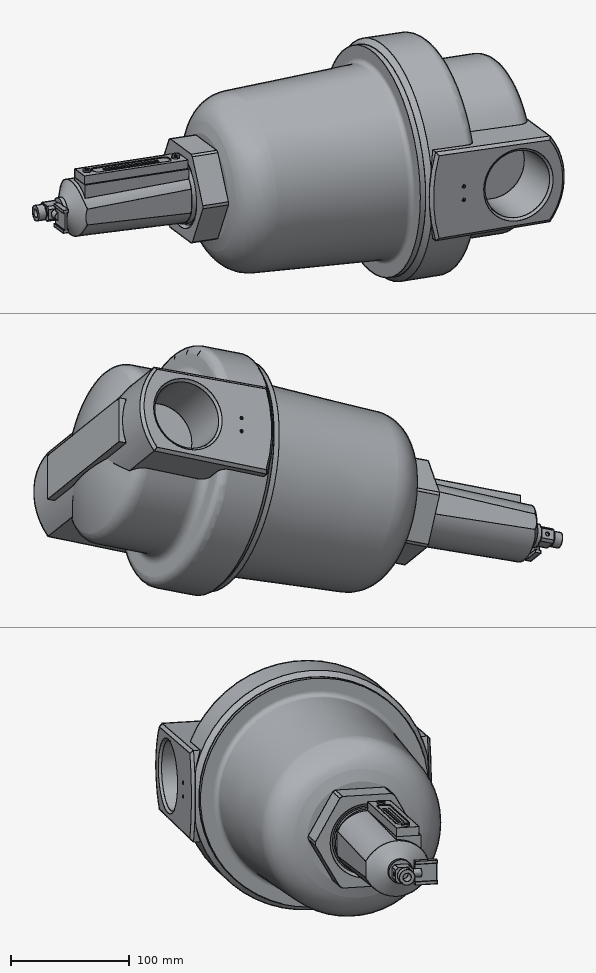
import cadquery as cq
import math


HEAD_FLANGE_D = 207.5
HEAD_FLANGE_R = HEAD_FLANGE_D / 2
FLANGE_BACK_Y = 47.5
FLANGE_ROUND = 8.0
FLANGE_CHAMFER = 4.5
HEAD_NECK_R = 76.5
HEAD_TOP_Y = 128.0
DOME_R = 163.0
DOME_EDGE_FILLET = 11.5

BLOCK_LENGTH = 208.7
BLOCK_BACK_Y = 127.0
BLOCK_BACK_CORNER_Y = 113.7
BLOCK_BACK_HALF_Z = 38.5
BLOCK_FRONT_Y = 2.2
BLOCK_FRONT_CORNER_Y = 8.0
BLOCK_FRONT_HALF_Z = 39.5
BLOCK_CHAMFER = 2.5
PORT_R = 30.0
PORT_Y = 83.5
PORT_DEPTH = 53.5
PORT_CHAMFER = 2.2
PINHOLE_R = 1.5
PINHOLE_Y = 33.0
PINHOLE_SPACING = 12.0
PINHOLE_DEPTH = 2.2

BADGE_LENGTH = 137.0
BADGE_WIDTH = 40.0
BADGE_BACK_Y = 130.2
BADGE_ROOT_Y = 111.5

BOWL_FLANGE_R = 99.0
BOWL_FLANGE_T = 5.0
BOWL_TOP_R = 83.5
BOWL_TOP_FILLET = 4.5
BOWL_LOW_R = 77.5
BOWL_LOW_Y = -127.0
BOWL_ROUND_END_R = 55.7
BOWL_ROUND_END_Y = -155.0
BOWL_END_R = 45.5
BOWL_END_Y = -158.0
HEX_FLATS = 79.5
HEX_CORNER_R = 45.0
HEX_END_Y = -181.5
RECESS_MOUTH_R = 32.0
RECESS_FLOOR_R = 29.5
RECESS_DEPTH = 2.5

DRAIN_COLLAR_R = 28.0
DRAIN_START_Y = -183.7
DRAIN_HALF_X = 26.8
DRAIN_START_HALF_Z = 26.8
DRAIN_START_FLAT = 10.5
DRAIN_END_HALF_Z = 24.0
DRAIN_END_FLAT = 7.0
DRAIN_SHOULDER_Y = -278.0
DRAIN_SHOULDER_R = 28.0
DRAIN_CONE_Y = -282.8
DRAIN_CONE_R = 25.0
DRAIN_TIP_Y = -291.0

PEDESTAL_WIDTH = 21.5
PEDESTAL_TOP_Z = 26.8
GAUGE_WIDTH = 19.5
GAUGE_TOP_Z = 34.5
GAUGE_END_Y = -279.5
GAUGE_CENTRE_X = GAUGE_WIDTH / 2
GAUGE_MID_Y = (DRAIN_START_Y + GAUGE_END_Y) / 2
WINDOW_WIDTH = 11.5
WINDOW_LENGTH = 71.5
WINDOW_CORNER_R = 4.0
WINDOW_DEPTH = 1.0
SLOT_LENGTH = 50.5
SLOT_WIDTH = 2.5
SLOT_X = 8.5
SLOT_DEPTH = 2.5
GROOVE_WIDTH = 0.5
GROOVE_X = 12.5
SCREW_SPACING = 82.0
SCREW_HEAD_R = 3.35
SCREW_HEAD_H = 1.5
SCREW_SHANK_R = 2.0
SCREW_SHANK_LENGTH = 5.5
SCREW_SOCKET_R = 1.1
SCREW_SOCKET_DEPTH = 1.0

VALVE_COLLAR_R = 10.3
VALVE_COLLAR_END_Y = -294.5
VALVE_NECK_R = 5.5
VALVE_BLOCK_Y = -295.5
VALVE_BLOCK_END_Y = -307.5
VALVE_BLOCK_WIDTH = 15.5
VALVE_BLOCK_HEIGHT = 13.5
VALVE_BLOCK_CHAMFER = 2.2
VALVE_OUTLET_Y = -308.5
VALVE_END_Y = -315.8
VALVE_OUTLET_R = 6.5
VALVE_BORE_R = 3.5
VALVE_BORE_DEPTH = 11.0
STEM_HOLE_R = 2.0
STEM_HOLE_DEPTH = 1.5

STEM_Y = -301.0
STEM_R = 3.8
STEM_START_X = 5.5
STEM_END_X = 15.5
LEVER_START_X = 10.3
LEVER_END_X = 29.5
LEVER_WIDTH = 20.5
LEVER_WEB_T = 2.2
LEVER_RIM_T = 5.0
LEVER_RIM_WIDTH = 2.5


def revolve_about_y(profile):
    """Turn a closed half profile, drawn as (radius, y), about the Y axis."""
    return profile.close().revolve(360, (0, 0, 0), (0, 1, 0))


def disc(radius, y_start, y_end):
    """Cylinder on the Y axis from y_start towards -Y."""
    return cq.Workplane("XZ", origin=(0, y_start, 0)).circle(radius).extrude(y_start - y_end)


def block(x_range, y_range, z_range):
    """Box given by its lower and upper limits along each axis."""
    lows, highs = zip(x_range, y_range, z_range)
    sizes = [high - low for low, high in zip(lows, highs)]
    return cq.Workplane("XY").box(*sizes, centered=False).translate(lows)


def round_point(centre, radius, degrees):
    """Point on a circle, at an angle from its first axis."""
    angle = math.radians(degrees)
    return (centre[0] + radius * math.cos(angle), centre[1] + radius * math.sin(angle))


def make_head():
    """Domed neck and flange turned about Y, joined to the port block."""
    dome_edge_y = HEAD_TOP_Y - DOME_R + math.sqrt(DOME_R**2 - HEAD_NECK_R**2)
    dome_mid_r = HEAD_NECK_R / 2
    dome_mid = (dome_mid_r, HEAD_TOP_Y - DOME_R + math.sqrt(DOME_R**2 - dome_mid_r**2))
    rim_centre = (HEAD_FLANGE_R - FLANGE_ROUND, FLANGE_BACK_Y - FLANGE_ROUND)
    neck_centre = (HEAD_NECK_R + FLANGE_ROUND, FLANGE_BACK_Y + FLANGE_ROUND)
    turned = revolve_about_y(
        cq.Workplane("XY")
        .moveTo(0, 0)
        .lineTo(HEAD_FLANGE_R - FLANGE_CHAMFER, 0)
        .lineTo(HEAD_FLANGE_R, FLANGE_CHAMFER)
        .lineTo(HEAD_FLANGE_R, rim_centre[1])
        .threePointArc(round_point(rim_centre, FLANGE_ROUND, 45), (rim_centre[0], FLANGE_BACK_Y))
        .lineTo(neck_centre[0], FLANGE_BACK_Y)
        .threePointArc(round_point(neck_centre, FLANGE_ROUND, 225), (HEAD_NECK_R, neck_centre[1]))
        .lineTo(HEAD_NECK_R, dome_edge_y)
        .threePointArc(dome_mid, (0, HEAD_TOP_Y))
    )
    neck_end_edge = cq.selectors.NearestToPointSelector((0, dome_edge_y, 0))
    turned = turned.edges(neck_end_edge).fillet(DOME_EDGE_FILLET)
    head = turned.union(make_port_block()).union(make_badge())
    return cut_ports(head)


def make_port_block():
    """Bar along X with bulging back and front and chamfered end faces."""
    return (
        cq.Workplane("YZ")
        .moveTo(BLOCK_FRONT_CORNER_Y, -BLOCK_FRONT_HALF_Z)
        .lineTo(BLOCK_BACK_CORNER_Y, -BLOCK_BACK_HALF_Z)
        .threePointArc((BLOCK_BACK_Y, 0), (BLOCK_BACK_CORNER_Y, BLOCK_BACK_HALF_Z))
        .lineTo(BLOCK_FRONT_CORNER_Y, BLOCK_FRONT_HALF_Z)
        .threePointArc((BLOCK_FRONT_Y, 0), (BLOCK_FRONT_CORNER_Y, -BLOCK_FRONT_HALF_Z))
        .close()
        .extrude(BLOCK_LENGTH / 2, both=True)
        .faces("<X or >X")
        .chamfer(BLOCK_CHAMFER)
    )


def make_badge():
    return block(
        (-BADGE_LENGTH / 2, BADGE_LENGTH / 2),
        (BADGE_ROOT_Y, BADGE_BACK_Y),
        (-BADGE_WIDTH / 2, BADGE_WIDTH / 2),
    )


def cut_ports(head):
    """A chamfered blind port and two pinholes in each end of the port block."""
    for side in (-1, 1):
        inward = cq.Vector(-side, 0, 0)
        end_x = side * BLOCK_LENGTH / 2
        mouth = cq.Vector(end_x, PORT_Y, 0)
        head = head.cut(cq.Solid.makeCylinder(PORT_R, PORT_DEPTH, mouth, inward))
        chamfer = cq.Solid.makeCone(PORT_R + PORT_CHAMFER, PORT_R, PORT_CHAMFER, mouth, inward)
        head = head.cut(chamfer)
        for z in (-PINHOLE_SPACING / 2, PINHOLE_SPACING / 2):
            start = cq.Vector(end_x, PINHOLE_Y, z)
            head = head.cut(cq.Solid.makeCylinder(PINHOLE_R, PINHOLE_DEPTH, start, inward))
    return head


def make_bowl():
    """Flanged tapered bowl whose lower end carries a hexagon with a conical recess."""
    fillet_end_y = -BOWL_FLANGE_T - BOWL_TOP_FILLET
    fillet_centre = (BOWL_TOP_R + BOWL_TOP_FILLET, fillet_end_y)
    shell = revolve_about_y(
        cq.Workplane("XY")
        .moveTo(0, 0)
        .lineTo(BOWL_FLANGE_R, 0)
        .lineTo(BOWL_FLANGE_R, -BOWL_FLANGE_T)
        .lineTo(fillet_centre[0], -BOWL_FLANGE_T)
        .threePointArc(round_point(fillet_centre, BOWL_TOP_FILLET, 135), (BOWL_TOP_R, fillet_end_y))
        .lineTo(BOWL_LOW_R, BOWL_LOW_Y)
        .tangentArcPoint((BOWL_ROUND_END_R, BOWL_ROUND_END_Y), relative=False)
        .lineTo(BOWL_END_R, BOWL_END_Y)
        .lineTo(0, BOWL_END_Y)
    )
    hexagon = (
        cq.Workplane("XZ", origin=(0, BOWL_END_Y, 0))
        .polygon(6, HEX_FLATS / math.cos(math.pi / 6))
        .extrude(BOWL_END_Y - HEX_END_Y)
        .intersect(disc(HEX_CORNER_R, BOWL_END_Y, HEX_END_Y))
    )
    recess = cq.Solid.makeCone(
        RECESS_MOUTH_R, RECESS_FLOOR_R, RECESS_DEPTH, cq.Vector(0, HEX_END_Y, 0), cq.Vector(0, 1, 0)
    )
    return shell.union(hexagon).cut(recess)


def drain_section(sketch, half_z, flat_half):
    """Closed outline with two flat sides joined by shallow arcs above and below."""
    return (
        sketch.moveTo(DRAIN_HALF_X, -flat_half)
        .lineTo(DRAIN_HALF_X, flat_half)
        .threePointArc((0, half_z), (-DRAIN_HALF_X, flat_half))
        .lineTo(-DRAIN_HALF_X, -flat_half)
        .threePointArc((0, -half_z), (DRAIN_HALF_X, -flat_half))
        .close()
    )


def make_drain_body():
    """Tapered barrel with a rounded conical tip, an upper collar and a gauge pedestal."""
    start = cq.Workplane("XZ", origin=(0, DRAIN_START_Y, 0))
    barrel = drain_section(start, DRAIN_START_HALF_Z, DRAIN_START_FLAT)
    barrel = barrel.workplane(offset=DRAIN_START_Y - DRAIN_SHOULDER_Y)
    barrel = drain_section(barrel, DRAIN_END_HALF_Z, DRAIN_END_FLAT).loft(ruled=True)
    shoulder = cq.Workplane("XZ", origin=(0, DRAIN_SHOULDER_Y, 0))
    tip = drain_section(shoulder, DRAIN_END_HALF_Z, DRAIN_END_FLAT)
    tip = tip.extrude(DRAIN_SHOULDER_Y - DRAIN_TIP_Y)
    tip_envelope = revolve_about_y(
        cq.Workplane("XY")
        .moveTo(0, DRAIN_START_Y)
        .lineTo(DRAIN_SHOULDER_R, DRAIN_START_Y)
        .lineTo(DRAIN_SHOULDER_R, DRAIN_SHOULDER_Y)
        .tangentArcPoint((DRAIN_CONE_R, DRAIN_CONE_Y), relative=False)
        .lineTo(VALVE_COLLAR_R, DRAIN_TIP_Y)
        .lineTo(0, DRAIN_TIP_Y)
    )
    tip = tip.intersect(tip_envelope)
    collar = disc(DRAIN_COLLAR_R, HEX_END_Y + RECESS_DEPTH, DRAIN_START_Y)
    pedestal = block((0, PEDESTAL_WIDTH), (GAUGE_END_Y, DRAIN_START_Y), (0, PEDESTAL_TOP_Z))
    return barrel.union(tip).union(collar).union(pedestal)


def make_screw(y):
    """Round-headed screw along Z with a round socket in its head."""
    base = cq.Workplane("XY", origin=(GAUGE_CENTRE_X, y, GAUGE_TOP_Z))
    head = base.circle(SCREW_HEAD_R).extrude(SCREW_HEAD_H)
    shank = base.circle(SCREW_SHANK_R).extrude(-SCREW_SHANK_LENGTH)
    socket = (
        base.workplane(offset=SCREW_HEAD_H).circle(SCREW_SOCKET_R).extrude(-SCREW_SOCKET_DEPTH)
    )
    return head.union(shank).cut(socket)


def gauge_pocket(x, width, length, depth):
    """Box cutter sunk into the gauge face, centred along its length."""
    return (
        cq.Workplane("XY", origin=(x, GAUGE_MID_Y, GAUGE_TOP_Z)).rect(width, length).extrude(-depth)
    )


def make_gauge(screws):
    plate = block((0, GAUGE_WIDTH), (GAUGE_END_Y, DRAIN_START_Y), (PEDESTAL_TOP_Z, GAUGE_TOP_Z))
    window = gauge_pocket(GAUGE_CENTRE_X, WINDOW_WIDTH, WINDOW_LENGTH, WINDOW_DEPTH)
    plate = plate.cut(window.edges("|Z").fillet(WINDOW_CORNER_R))
    plate = plate.cut(gauge_pocket(SLOT_X, SLOT_WIDTH, SLOT_LENGTH, SLOT_DEPTH))
    plate = plate.cut(gauge_pocket(GROOVE_X, GROOVE_WIDTH, SLOT_LENGTH, SLOT_DEPTH))
    for screw in screws:
        plate = plate.cut(screw)
    return plate


def make_lever():
    """Stem along X carrying a flat wing with a thicker rim along each long edge."""
    stem = (
        cq.Workplane("YZ", origin=(STEM_START_X, STEM_Y, 0))
        .circle(STEM_R)
        .extrude(STEM_END_X - STEM_START_X)
    )
    wing_centre_x = (LEVER_START_X + LEVER_END_X) / 2
    wing_length = LEVER_END_X - LEVER_START_X
    web = cq.Workplane("XY").box(wing_length, LEVER_WEB_T, LEVER_WIDTH)
    lever = stem.union(web.translate((wing_centre_x, STEM_Y, 0)))
    for side in (-1, 1):
        rim = cq.Workplane("XY").box(wing_length, LEVER_RIM_T, LEVER_RIM_WIDTH)
        rim_z = side * (LEVER_WIDTH - LEVER_RIM_WIDTH) / 2
        lever = lever.union(rim.translate((wing_centre_x, STEM_Y, rim_z)))
    return lever


def make_valve(lever):
    collar = disc(VALVE_COLLAR_R, DRAIN_TIP_Y, VALVE_COLLAR_END_Y)
    neck = disc(VALVE_NECK_R, VALVE_COLLAR_END_Y, VALVE_OUTLET_Y)
    body = (
        cq.Workplane("XZ", origin=(0, VALVE_BLOCK_Y, 0))
        .rect(VALVE_BLOCK_WIDTH, VALVE_BLOCK_HEIGHT)
        .extrude(VALVE_BLOCK_Y - VALVE_BLOCK_END_Y)
        .edges("|Y")
        .chamfer(VALVE_BLOCK_CHAMFER)
    )
    outlet = disc(VALVE_OUTLET_R, VALVE_OUTLET_Y, VALVE_END_Y)
    bore = disc(VALVE_BORE_R, VALVE_END_Y + VALVE_BORE_DEPTH, VALVE_END_Y)
    stem_hole = (
        cq.Workplane("YZ", origin=(-VALVE_BLOCK_WIDTH / 2, STEM_Y, 0))
        .circle(STEM_HOLE_R)
        .extrude(STEM_HOLE_DEPTH)
    )
    valve = collar.union(neck).union(body).union(outlet)
    return valve.cut(bore).cut(stem_hole).cut(lever)


head = make_head()
bowl = make_bowl()
drain_body = make_drain_body()
screws = [make_screw(GAUGE_MID_Y + side * SCREW_SPACING / 2) for side in (-1, 1)]
gauge = make_gauge(screws)
lever = make_lever()
valve = make_valve(lever)

result = cq.Compound.makeCompound(
    [
        head.val(),
        bowl.val(),
        drain_body.val(),
        gauge.val(),
        *[screw.val() for screw in screws],
        valve.val(),
        lever.val(),
    ]
)